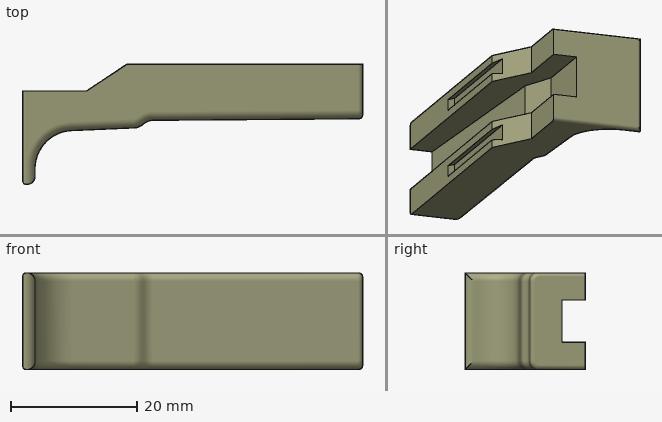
import cadquery as cq
import math

length = 53.8
depth = 19.05
height = 15.3

toe_thickness = 1.96
toe_straight = 2.5
finger_radius = 6.0
grip_angle = math.radians(2.5)

step_start_x = 18.3
step_end_x = 19.9
step_end_y = 10.12
step_radius = 2.0
body_end_y = 10.37

head_y = 14.8
ramp_start_x = 10.1
ramp_end_x = 16.5

channel_width = 6.65
channel_head_y = 10.95
channel_bend_y = 13.38
channel_end_y = 15.36
channel_slope_start_x = 11.5
channel_slope_end_x = 16.8

groove_mouth = 1.75
groove_floor = 2.4
groove_depth = 1.1
groove_offset = 5.5
groove_length = 20.0

grip_round = 1.3
head_round = 0.5
end_round = 0.65

margin = 0.01


def edges_within(x_min, y_min, x_max, y_max):
    """Selector for the edges that lie wholly inside a rectangle in X and Y."""
    return cq.selectors.BoxSelector(
        (x_min - margin, y_min - margin, -height),
        (x_max + margin, y_max + margin, height),
        boundingbox=True,
    )


def upright_edge(x, y):
    """Selector for the edge parallel to Z that stands at (x, y)."""
    return edges_within(x, y, x, y)


def side_profile():
    """Outline in the XY plane: toe, finger curve, grip, step, body, back, ramp and head."""
    centre_x = toe_thickness + finger_radius
    start_angle = math.pi
    end_angle = math.pi / 2 + grip_angle
    mid_angle = (start_angle + end_angle) / 2

    def on_finger_curve(angle):
        return (
            centre_x + finger_radius * math.cos(angle),
            toe_straight + finger_radius * math.sin(angle),
        )

    grip_start = on_finger_curve(end_angle)
    step_start_y = grip_start[1] + (step_start_x - grip_start[0]) * math.tan(grip_angle)
    outline = (
        cq.Workplane("XY", origin=(0, 0, -height / 2))
        .moveTo(0, 0)
        .lineTo(toe_thickness, 0)
        .lineTo(toe_thickness, toe_straight)
        .threePointArc(on_finger_curve(mid_angle), grip_start)
        .lineTo(step_start_x, step_start_y)
        .lineTo(step_end_x, step_end_y)
        .lineTo(length, body_end_y)
        .lineTo(length, depth)
        .lineTo(ramp_end_x, depth)
        .lineTo(ramp_start_x, head_y)
        .lineTo(0, head_y)
        .close()
    )
    body = outline.extrude(height)
    body = body.edges(upright_edge(step_start_x, step_start_y)).fillet(step_radius)
    return body.edges(upright_edge(step_end_x, step_end_y)).fillet(step_radius)


def round_edges(body):
    """Rounds the grip side, then the far end and the front of the head."""
    grip_edges = edges_within(toe_thickness, 0, length, body_end_y)
    far_edge = upright_edge(length, body_end_y)
    body = body.edges(grip_edges - far_edge).fillet(grip_round)
    far_face_edges = cq.selectors.StringSyntaxSelector(">X")
    body = body.edges(far_face_edges - upright_edge(length, depth)).fillet(end_round)
    front_face_edges = cq.selectors.StringSyntaxSelector("<X")
    return body.edges(front_face_edges - upright_edge(0, head_y)).fillet(head_round)


def channel():
    """Cutter for the back channel, whose floor climbs a slope and then a gentle taper."""
    return (
        cq.Workplane("XY", origin=(0, 0, -channel_width / 2))
        .moveTo(0, channel_head_y)
        .lineTo(channel_slope_start_x, channel_head_y)
        .lineTo(channel_slope_end_x, channel_bend_y)
        .lineTo(length, channel_end_y)
        .lineTo(length, depth)
        .lineTo(0, depth)
        .close()
        .extrude(channel_width)
    )


def dovetail_groove(z):
    """Cutter for one dovetail groove, open on the ramp and closed at its far end."""
    floor_y = depth - groove_depth
    return (
        cq.Workplane("YZ")
        .moveTo(depth, z - groove_mouth / 2)
        .lineTo(depth, z + groove_mouth / 2)
        .lineTo(floor_y, z + groove_floor / 2)
        .lineTo(floor_y, z - groove_floor / 2)
        .close()
        .extrude(ramp_end_x + groove_length)
    )


result = round_edges(side_profile()).cut(channel())
for side in (-1, 1):
    result = result.cut(dovetail_groove(side * groove_offset))